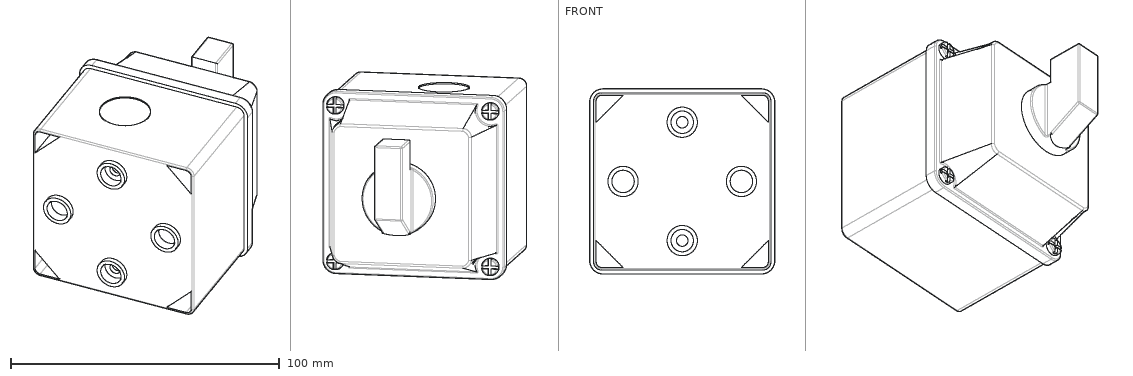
import cadquery as cq
import math


box_front = 2.0
flange_front = 46.6
flange_back = 51.2
cover_back = 72.9
disk_front = 75.4
disk_back = 80.4
overhang_front = 82.3
handle_end = 97.0

flange_size = 69.0
flange_radius = 5.0
flange_fillet = 0.5
box_size = 66.0
box_radius = 3.0
box_fillet = 0.6
pocket_wall = 1.0
pocket_leg = 10.0
knockout_x = -6.5
knockout_y = 26.5
knockout_radius = 9.5
knockout_depth = 0.5

pad_offset = 22.0
pad_radius = 5.6
pad_bore_radius = 4.2
pad_bore_depth = 3.9
screw_hole_radius = 2.1
screw_hole_depth = 5.8

cover_base_half = 31.7
cover_top_half = 26.3
cover_top_radius = 3.0
cover_top_fillet = 1.0
cover_base_fillet = 0.5
screw_clearance = 5.7

screw_offset = flange_size / 2 - flange_radius
screw_radius = 3.2
screw_height = 2.1
screw_fillet = 0.5
slot_width = 1.2
slot_depth = 1.2

shaft_radius = 8.3
disk_radius = 13.5
grip_width = 10.7
grip_top = 23.3
grip_slope_end = -4.7
grip_fillet = 0.6
disk_fillet = 0.5
foot_fillet = 0.6

SELECT_MARGIN = 0.1

CORNERS = [(1, 1), (-1, 1), (-1, -1), (1, -1)]


def plane_at(y):
    """Sketch plane at height y: local x is X, local y is Z."""
    return cq.Workplane("XZ", origin=(0, y, 0))


def cylinder(x, z, radius, y_start, y_end):
    return plane_at(y_start).center(x, z).circle(radius).extrude(y_start - y_end)


def lying_at(y, half):
    """Selector for what lies flat at height y, within a square of that half size."""
    reach = half + SELECT_MARGIN
    low = (-reach, y - SELECT_MARGIN, -reach)
    high = (reach, y + SELECT_MARGIN, reach)
    return cq.selectors.BoxSelector(low, high, boundingbox=True)


def square_block(size, radius, y_start, y_end):
    """Square block along Y with rounded long edges."""
    block = plane_at(y_start).rect(size, size).extrude(y_start - y_end)
    return block.edges("|Y").fillet(radius)


def corner_pockets():
    """Triangular pockets between the box walls and a diagonal at each corner."""
    half = box_size / 2 - pocket_wall
    inside = square_block(2 * half, box_radius - pocket_wall, box_front, flange_front)
    wedges = cq.Workplane("XZ")
    for sx, sz in CORNERS:
        points = [
            (sx * half, sz * half),
            (sx * (half - pocket_leg), sz * half),
            (sx * half, sz * (half - pocket_leg)),
        ]
        wedge = plane_at(box_front).polyline(points).close().extrude(box_front - flange_front)
        wedges = wedges.add(wedge)
    return wedges.combine().intersect(inside)


def make_box():
    """Square box with corner pockets, a shallow round knockout on top and a flange."""
    box = square_block(box_size, box_radius, box_front, flange_back)
    box = box.faces("<Y").edges().fillet(box_fillet)
    flange = square_block(flange_size, flange_radius, flange_front, flange_back)
    flange = flange.faces(">Y").edges().fillet(flange_fillet)
    knockout = (
        cq.Workplane("XY", origin=(knockout_x, knockout_y, box_size / 2))
        .circle(knockout_radius)
        .extrude(-knockout_depth)
    )
    return box.cut(corner_pockets()).cut(knockout).union(flange)


def quarter_turned(u, v, turns):
    """The point (u, v) turned about the origin by a number of quarter turns."""
    angle = math.radians(90 * turns)
    return (
        u * math.cos(angle) - v * math.sin(angle),
        u * math.sin(angle) + v * math.cos(angle),
    )


def cover_outline(y, half, start, corner_mid):
    """Square outline whose corners are arcs from (half, start) via the diagonal point."""
    sketch = plane_at(y).moveTo(half, -start)
    for turns in range(4):
        sketch = sketch.lineTo(*quarter_turned(half, start, turns))
        sketch = sketch.threePointArc(
            quarter_turned(corner_mid, corner_mid, turns),
            quarter_turned(start, half, turns),
        )
    return sketch.wire().val()


def make_cover():
    """Tapered cover: corners hollowed round the screws at the base, rounded at the top."""
    reach = cover_base_half - screw_offset
    base_start = screw_offset - math.sqrt(screw_clearance**2 - reach**2)
    base_mid = screw_offset - screw_clearance / math.sqrt(2)
    top_start = cover_top_half - cover_top_radius
    top_mid = top_start + cover_top_radius / math.sqrt(2)
    base = cover_outline(flange_back, cover_base_half, base_start, base_mid)
    top = cover_outline(cover_back, cover_top_half, top_start, top_mid)
    cover = cq.Workplane(cq.Solid.makeLoft([base, top], True))
    return cover.faces(">Y").edges().fillet(cover_top_fillet)


def make_screw(x, z):
    """Round screw head with a cross slot."""
    top = flange_back + screw_height
    screw = cylinder(x, z, screw_radius, flange_back, top)
    screw = screw.faces(">Y").edges().fillet(screw_fillet)
    slot = plane_at(top).center(x, z).rect(slot_width, 2 * screw_radius).extrude(slot_depth)
    cross = plane_at(top).center(x, z).rect(2 * screw_radius, slot_width).extrude(slot_depth)
    return screw.cut(slot).cut(cross)


def grip_slab(outline):
    """Slab of the grip's width, from an outline of (Y, Z) points."""
    return cq.Workplane("YZ").polyline(outline).close().extrude(grip_width / 2, both=True)


def make_handle():
    """Shaft, round disk and a grip bar that overhangs the disk towards +Z."""
    slope = (grip_slope_end + disk_radius) / (handle_end - disk_back)

    def slope_z(y):
        return slope * (y - disk_back) - disk_radius

    bar = grip_slab([
        (overhang_front, slope_z(overhang_front)),
        (handle_end, grip_slope_end),
        (handle_end, grip_top),
        (overhang_front, grip_top),
    ])
    bar = bar.edges("not (<Y and |X)").fillet(grip_fillet)

    foot_end = overhang_front + grip_fillet
    foot = grip_slab([
        (disk_front, -disk_radius),
        (disk_back, -disk_radius),
        (foot_end, slope_z(foot_end)),
        (foot_end, disk_radius),
        (disk_front, disk_radius),
    ])
    foot = foot.intersect(cylinder(0, 0, disk_radius, disk_front, foot_end))

    disk = cylinder(0, 0, disk_radius, disk_front, disk_back).union(foot)
    disk = disk.edges(lying_at(disk_back, disk_radius)).edges("|Z").fillet(foot_fillet)
    rim = disk.faces(lying_at(disk_back, disk_radius)).edges("%CIRCLE")
    disk = rim.fillet(disk_fillet)
    shaft = cylinder(0, 0, shaft_radius, cover_back, disk_front)
    return shaft.union(disk).union(bar)


def add_pad(body, x, z, has_screw_hole):
    """Add a bored mounting pad, with a smaller hole in its floor if wanted."""
    body = body.union(cylinder(x, z, pad_radius, 0, box_front))
    body = body.cut(cylinder(x, z, pad_bore_radius, 0, pad_bore_depth))
    if has_screw_hole:
        body = body.cut(cylinder(x, z, screw_hole_radius, 0, screw_hole_depth))
    return body


result = make_box().union(make_cover())
result = result.edges(lying_at(flange_back, cover_base_half)).fillet(cover_base_fillet)
for sx, sz in CORNERS:
    result = result.union(make_screw(sx * screw_offset, sz * screw_offset))
result = result.union(make_handle())
for side in (1, -1):
    result = add_pad(result, side * pad_offset, 0, has_screw_hole=False)
    result = add_pad(result, 0, side * pad_offset, has_screw_hole=True)